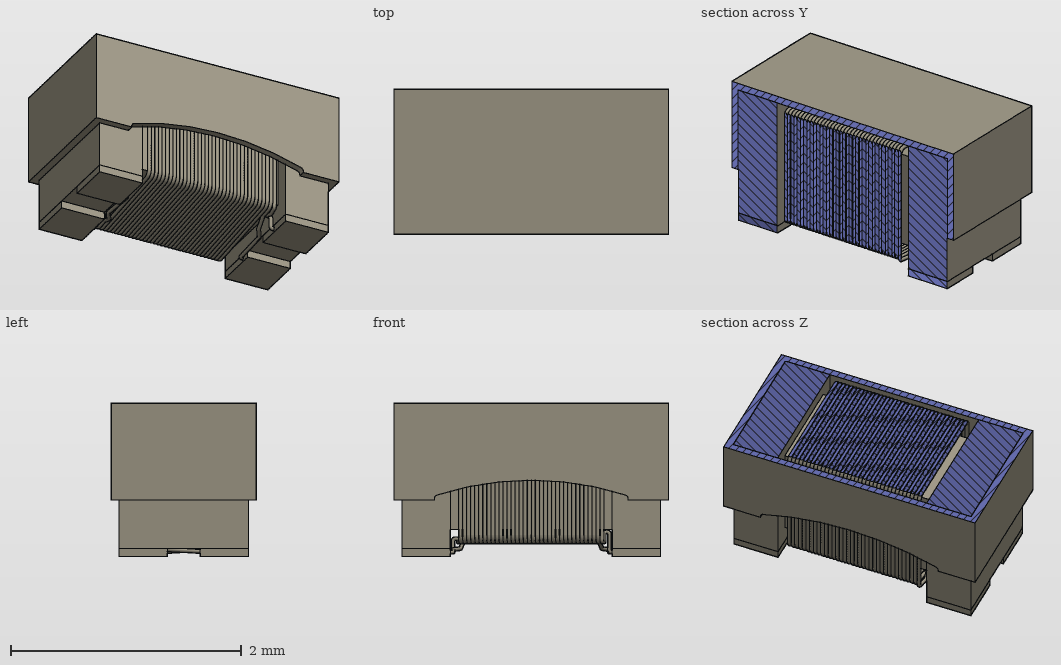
import cadquery as cq
import math

length = 2.38
cover_width = 1.26
total_height = 1.33
cover_bottom = 0.49
cover_wall = 0.07
arch_half_width = 0.84
arch_top = 0.662
arch_radius = 2.665
arch_corner_radius = 0.035

core_width = 1.125
core_length = length - 2 * cover_wall
core_top = total_height - cover_wall
leg_length = 0.42
leg_inner_x = core_length / 2 - leg_length
pad_height = 0.07
bar_inset = 0.165
bar_width = 0.833
bar_bottom = pad_height + bar_inset
bar_top = core_top - bar_inset

slot_width = 0.285
pad_width = (core_width - slot_width) / 2

turns = 18
wire_count = 2
coil_length = 1.261
wire_spacing = coil_length / (turns * wire_count)
wire_gap = 0.0007
wire_diameter = wire_spacing - wire_gap
turn_pitch = wire_count * wire_spacing
first_turn_x = -coil_length / 2 + wire_spacing / 2
coil_offset = 0.107
coil_bend = 0.06
coil_y = bar_width / 2 + coil_offset
coil_bottom = bar_bottom - coil_offset
coil_top = bar_top + coil_offset

lead_x = 0.678
lead_bend = 0.021
socket_depth = 0.038
lead_end_x = leg_inner_x + socket_depth
lead_end_z = 0.038
hook_y = 0.333
curl_y = 0.416
curl_shift = 0.02
curl_x = first_turn_x - curl_shift
front_hook_z = 0.215
back_hook_z = 0.155
crossing_start_y = -0.357
crossing_dip_x = 0.615
crossing_dip_y = -0.225
crossing_dip_z = 0.07
crossing_leg_y = -0.12
crossing_leg_z = 0.06
crossing_end_y = 0.238


def block(size_x, size_y, z_low, z_high):
    """Box centred on X and Y between two heights."""
    return cq.Workplane("XY").workplane(offset=z_low).rect(size_x, size_y).extrude(z_high - z_low)


def make_cover():
    cover = block(length, cover_width, cover_bottom, total_height)
    cavity = block(core_length, core_width, cover_bottom, core_top)
    arch_drop = arch_radius - math.sqrt(arch_radius**2 - arch_half_width**2)
    arch_end_z = arch_top - arch_drop
    window = (
        cq.Workplane("XZ")
        .moveTo(-arch_half_width, cover_bottom)
        .lineTo(-arch_half_width, arch_end_z)
        .threePointArc((0, arch_top), (arch_half_width, arch_end_z))
        .lineTo(arch_half_width, cover_bottom)
        .close()
        .extrude(cover_width / 2, both=True)
    )
    window = window.edges("|Y").edges(">Z").fillet(arch_corner_radius)
    return cover.cut(cavity).cut(window)


def make_core():
    core = block(core_length, core_width, pad_height, core_top)
    waist = block(2 * leg_inner_x, core_width, pad_height, core_top)
    bar = block(2 * leg_inner_x, bar_width, bar_bottom, bar_top)
    return core.cut(waist).union(bar)


def make_pad(side_x, side_y):
    pad = block(leg_length, pad_width, 0, pad_height)
    center_x = side_x * (core_length - leg_length) / 2
    center_y = side_y * (core_width - pad_width) / 2
    return pad.translate((center_x, center_y, 0))


def rounded_path(corners):
    """Path of straight runs joined by tangent arcs; each corner is (x, y, z, bend radius)."""
    points = [cq.Vector(*corner[:3]) for corner in corners]
    edges = []
    run_start = points[0]
    for before, corner, after, (_, _, _, radius) in zip(points, points[1:], points[2:], corners[1:]):
        to_before = (before - corner).normalized()
        to_after = (after - corner).normalized()
        half_angle = to_before.getAngle(to_after) / 2
        setback = radius / math.tan(half_angle)
        arc_start = corner + to_before * setback
        arc_end = corner + to_after * setback
        bisector = (to_before + to_after).normalized()
        arc_middle = corner + bisector * (radius / math.sin(half_angle) - radius)
        edges.append(cq.Edge.makeLine(run_start, arc_start))
        edges.append(cq.Edge.makeThreePointArc(arc_start, arc_middle, arc_end))
        run_start = arc_end
    edges.append(cq.Edge.makeLine(run_start, points[-1]))
    return cq.Wire.assembleEdges(edges)


def make_wire(hook_z):
    """Wire from the left back pad, around the bar, to the right back pad."""
    hook = [
        (-lead_end_x, hook_y, lead_end_z, 0),
        (-lead_x, hook_y, lead_end_z, lead_bend),
        (-lead_x, hook_y, hook_z, lead_bend),
        (curl_x, hook_y, hook_z, lead_bend),
        (curl_x, curl_y, coil_bottom, lead_bend),
        (first_turn_x, coil_y, coil_bottom, lead_bend),
    ]
    coil = []
    for turn in range(turns):
        x = first_turn_x + turn * turn_pitch
        if turn > 0:
            coil.append((x, coil_y, coil_bottom, coil_bend))
        coil.append((x, coil_y, coil_top, coil_bend))
        coil.append((x, -coil_y, coil_top, coil_bend))
        coil.append((x, -coil_y, coil_bottom, coil_bend))
    last_turn_x = coil[-1][0]
    crossing_start_x = last_turn_x + turn_pitch * (coil_y + crossing_start_y) / (2 * coil_y)
    crossing = [
        (crossing_start_x, crossing_start_y, coil_bottom, lead_bend),
        (crossing_dip_x, crossing_dip_y, crossing_dip_z, lead_bend),
        (lead_x, crossing_leg_y, crossing_leg_z, lead_bend),
        (lead_x, crossing_end_y, lead_end_z, lead_bend),
        (lead_end_x, crossing_end_y, lead_end_z, 0),
    ]
    path = rounded_path(hook + coil + crossing)
    section = cq.Workplane("YZ", origin=hook[0][:3]).circle(wire_diameter / 2)
    return section.sweep(cq.Workplane(path))


cover = make_cover()
core = make_core()

back_wire = make_wire(back_hook_z)
front_wire = make_wire(front_hook_z).rotate((0, 0, 0), (0, 0, 1), 180)
wires = [back_wire, front_wire]

pads = []
for side_x in (-1, 1):
    for side_y, wire in ((-1, front_wire), (1, back_wire)):
        pads.append(make_pad(side_x, side_y).cut(wire))

bodies = [cover, core, *pads, *wires]
result = cq.Compound.makeCompound([body.val() for body in bodies])